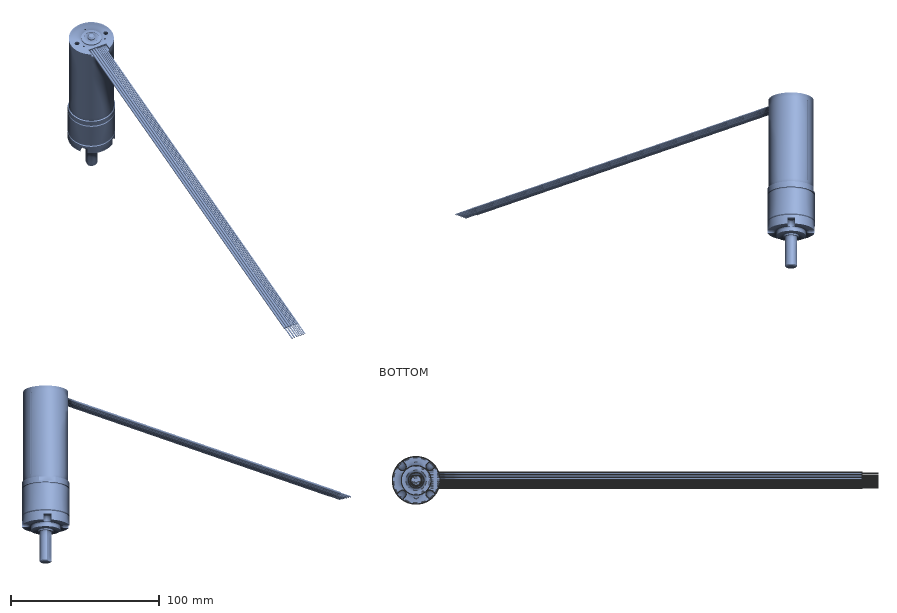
import cadquery as cq


GEARBOX_DIAMETER = 32.0
GEARBOX_HEIGHT = 30.5
FLANGE_HEIGHT = 6.2
RING_GEAR_TOP = 26.5
JOINT_CHAMFER = 1.0
BOSS_DIAMETER = 20.0
BOSS_HEIGHT = 3.0
COLLAR_DIAMETER = 10.5
COLLAR_HEIGHT = 1.0
CORNER_SLOT_WIDTH = 5.2
CORNER_SLOT_HEIGHT = 4.2
CORNER_SLOT_ROUND_X = 13.0
CORNER_SLOT_COUNT = 4
CORNER_SLOT_FIRST_ANGLE = 45
KEY_FLAT_DISTANCE = 15.0
KEY_FLAT_HEIGHT = 3.0
KEY_FLAT_ANGLE = 225

SHAFT_DIAMETER = 8.2
SHAFT_END_Z = -25.0
SHAFT_FLAT_DISTANCE = 3.3
SHAFT_FLAT_ANGLE = -90
SHAFT_CHAMFER = 0.5

MOTOR_DIAMETER = 30.5
MOTOR_TOP_Z = 94.5
SEAM_WIDTH = 0.5
SEAM_DEPTH = 1.0
SEAM_TOP_Z = 90.5
SEAM_BOTTOM_Z = 33.3

HUB_DIAMETER = 13.7
HUB_HEIGHT = 1.0
BEARING_DIAMETER = 9.8
BEARING_RECESS_DEPTH = 0.3
REAR_SHAFT_DIAMETER = 5.2
REAR_SHAFT_TOP_Z = 97.0
REAR_SHAFT_CHAMFER = 1.0
SCREW_HOLE_DIAMETER = 3.3
SCREW_HOLE_RADIUS = 10.8
SCREW_HOLE_DEPTH = 3.3
SCREW_HOLE_COUNT = 2
SCREW_HOLE_FIRST_ANGLE = 90
PIN_HOLE_DIAMETER = 1.3
PIN_HOLE_RADIUS = 9.0
PIN_HOLE_DEPTH = 2.0
PIN_HOLE_COUNT = 3
PIN_HOLE_FIRST_ANGLE = 180

SIGNAL_COUNT = 5
SIGNAL_PITCH = 1.15
SIGNAL_DIAMETER = 1.0
PHASE_COUNT = 3
PHASE_PITCH = 1.75
PHASE_DIAMETER = 1.65
SIGNAL_CORE_DIAMETER = 0.72
PHASE_CORE_DIAMETER = 0.9
LEAD_AXIS_DEPTH = 1.8
LEAD_AXIS_Z = MOTOR_TOP_Z - LEAD_AXIS_DEPTH
OVERALL_LENGTH = 326.5
LEAD_END_X = OVERALL_LENGTH - GEARBOX_DIAMETER / 2
STRIPPED_LENGTH = 10.8
LEAD_NOTCH_X = 8.8
LEAD_NOTCH_WIDTH = 13.5
SIGNAL_START_GAP = 1.3

MOTOR_RADIUS = MOTOR_DIAMETER / 2


def cylinder(diameter, bottom_z, top_z):
    """Upright cylinder on the common axis."""
    return cq.Workplane("XY", origin=(0, 0, bottom_z)).circle(diameter / 2).extrude(top_z - bottom_z)


def block(x_start, x_end, width, bottom_z, top_z):
    """Box that spans a range of X and Z and is centred on the XZ plane."""
    size_x = x_end - x_start
    size_z = top_z - bottom_z
    centre = (x_start + size_x / 2, 0, bottom_z + size_z / 2)
    return cq.Workplane("XY").box(size_x, width, size_z).translate(centre)


def turned_about_axis(body, angle):
    return body.rotate((0, 0, 0), (0, 0, 1), angle)


def gearbox_casing():
    """Flange, ring gear with chamfered ends, adapter plate, centring boss and collar."""
    flange = cylinder(GEARBOX_DIAMETER, 0, FLANGE_HEIGHT)
    ring_gear = cylinder(GEARBOX_DIAMETER, FLANGE_HEIGHT, RING_GEAR_TOP)
    ring_gear = ring_gear.faces("<Z or >Z").chamfer(JOINT_CHAMFER)
    adapter = cylinder(GEARBOX_DIAMETER, RING_GEAR_TOP, GEARBOX_HEIGHT)
    boss = cylinder(BOSS_DIAMETER, -BOSS_HEIGHT, 0)
    collar = cylinder(COLLAR_DIAMETER, -BOSS_HEIGHT - COLLAR_HEIGHT, -BOSS_HEIGHT)
    return flange.union(ring_gear).union(adapter).union(boss).union(collar)


def corner_slots():
    """Radial slots in the mounting face, open at the rim and round at the inner end."""
    slots = cq.Workplane("XY")
    for index in range(CORNER_SLOT_COUNT):
        slot = block(CORNER_SLOT_ROUND_X, GEARBOX_DIAMETER, CORNER_SLOT_WIDTH, 0, CORNER_SLOT_HEIGHT)
        round_end = cylinder(CORNER_SLOT_WIDTH, 0, CORNER_SLOT_HEIGHT).translate((CORNER_SLOT_ROUND_X, 0, 0))
        slot = slot.union(round_end)
        slots = slots.add(turned_about_axis(slot, CORNER_SLOT_FIRST_ANGLE + index * 360 / CORNER_SLOT_COUNT))
    return slots.combine()


def key_flat():
    """Flat cut into the rim of the adapter plate at its motor end."""
    bottom_z = GEARBOX_HEIGHT - KEY_FLAT_HEIGHT
    cut = block(KEY_FLAT_DISTANCE, GEARBOX_DIAMETER, GEARBOX_DIAMETER, bottom_z, GEARBOX_HEIGHT)
    return turned_about_axis(cut, KEY_FLAT_ANGLE)


def output_shaft():
    """Shaft with a chamfered end and a flat on the -Y side."""
    shaft = cylinder(SHAFT_DIAMETER, SHAFT_END_Z, 0).faces("<Z").chamfer(SHAFT_CHAMFER)
    flat_top_z = -BOSS_HEIGHT - COLLAR_HEIGHT
    flat = block(SHAFT_FLAT_DISTANCE, SHAFT_DIAMETER, SHAFT_DIAMETER, SHAFT_END_Z, flat_top_z)
    return shaft.cut(turned_about_axis(flat, SHAFT_FLAT_ANGLE))


def make_gearbox():
    return gearbox_casing().cut(corner_slots()).cut(key_flat()).union(output_shaft())


def motor_can():
    """Can with the raised bearing hub and the rear end of the motor shaft."""
    hub_top_z = MOTOR_TOP_Z + HUB_HEIGHT
    recess_z = hub_top_z - BEARING_RECESS_DEPTH
    can = cylinder(MOTOR_DIAMETER, GEARBOX_HEIGHT, MOTOR_TOP_Z)
    hub = cylinder(HUB_DIAMETER, MOTOR_TOP_Z, hub_top_z)
    recess = cylinder(BEARING_DIAMETER, recess_z, hub_top_z)
    rear_shaft = cylinder(REAR_SHAFT_DIAMETER, MOTOR_TOP_Z, REAR_SHAFT_TOP_Z)
    rear_shaft = rear_shaft.faces(">Z").chamfer(REAR_SHAFT_CHAMFER)
    return can.union(hub).cut(recess).union(rear_shaft)


def can_seam():
    """Narrow slit along the -X side where the rolled sheet of the can meets."""
    return block(-MOTOR_DIAMETER, SEAM_DEPTH - MOTOR_RADIUS, SEAM_WIDTH, SEAM_BOTTOM_Z, SEAM_TOP_Z)


def rear_holes():
    """Two screw holes on the Y axis and a ring of small pin holes, the first on the -X side."""
    rear_face = cq.Workplane("XY", origin=(0, 0, MOTOR_TOP_Z))
    screw_holes = (
        rear_face.polarArray(SCREW_HOLE_RADIUS, SCREW_HOLE_FIRST_ANGLE, 360, SCREW_HOLE_COUNT)
        .circle(SCREW_HOLE_DIAMETER / 2)
        .extrude(-SCREW_HOLE_DEPTH)
    )
    pin_holes = (
        rear_face.polarArray(PIN_HOLE_RADIUS, PIN_HOLE_FIRST_ANGLE, 360, PIN_HOLE_COUNT)
        .circle(PIN_HOLE_DIAMETER / 2)
        .extrude(-PIN_HOLE_DEPTH)
    )
    return screw_holes.add(pin_holes).combine()


def lead_notch():
    """Notch in the rear rim; its floor lies at the level of the lead axes."""
    return block(LEAD_NOTCH_X, MOTOR_DIAMETER, LEAD_NOTCH_WIDTH, LEAD_AXIS_Z, MOTOR_TOP_Z)


def lead(start_x, y, diameter, core_diameter):
    """One insulated wire along X with its bare core showing at the far end."""
    start = cq.Workplane("YZ", origin=(start_x, y, LEAD_AXIS_Z))
    length = LEAD_END_X - start_x
    insulation = start.circle(diameter / 2).extrude(length - STRIPPED_LENGTH)
    core = start.circle(core_diameter / 2).extrude(length)
    return insulation.union(core)


def all_leads():
    """Signal wires on the +Y side and phase wires on the -Y side, centred on the axis as a row."""
    row_width = SIGNAL_COUNT * SIGNAL_PITCH + PHASE_COUNT * PHASE_PITCH
    signal_edge_y = row_width / 2
    phase_edge_y = signal_edge_y - SIGNAL_COUNT * SIGNAL_PITCH
    leads = []
    for index in range(SIGNAL_COUNT):
        y = signal_edge_y - (index + 0.5) * SIGNAL_PITCH
        leads.append(lead(LEAD_NOTCH_X + SIGNAL_START_GAP, y, SIGNAL_DIAMETER, SIGNAL_CORE_DIAMETER))
    for index in range(PHASE_COUNT):
        y = phase_edge_y - (index + 0.5) * PHASE_PITCH
        leads.append(lead(LEAD_NOTCH_X, y, PHASE_DIAMETER, PHASE_CORE_DIAMETER))
    return leads


def make_motor():
    motor = motor_can().cut(can_seam()).cut(rear_holes()).cut(lead_notch())
    for wire in all_leads():
        motor = motor.union(wire)
    return motor


gearbox = make_gearbox()
motor = make_motor()

result = cq.Compound.makeCompound([gearbox.solids().val(), motor.solids().val()])